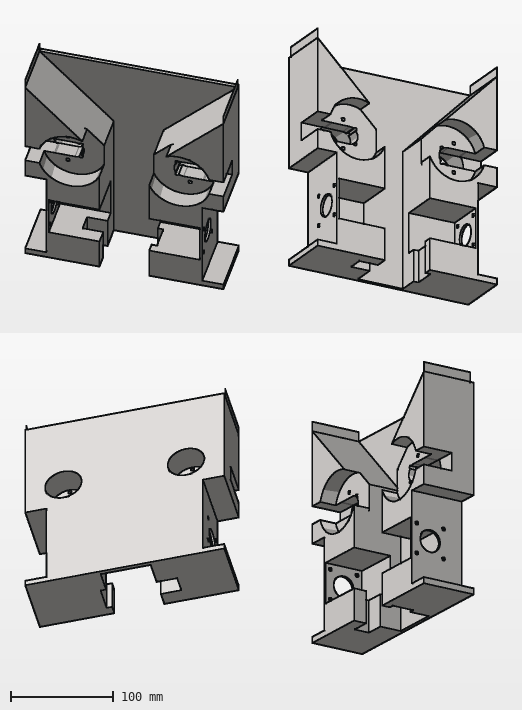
import cadquery as cq
import math

half_width = 100.0
depth = 58.0
total_height = 230.0

plate_thickness = 4.0
plate_height = 220.0
gap_half_width = 25.0
plate_front = depth - plate_thickness
slope_run = half_width - gap_half_width
slope_foot = plate_height - slope_run

waist_half_width = 78.7
foot_height = 6.5
shoulder_height = 103.0

seat_x = 54.7
seat_z = 132.7
seat_radius = 32.2
seat_depth = 18.0
web_back = 32.5
slot_height = 18.6
shaft_offset = 7.0
motor_axis_x = seat_x + shaft_offset
rear_bore_radius = 18.5
screw_circle_radius = 15.5
screw_count = 6
screw_radius = 1.72

motor_size = 42.3
pocket_bottom = 33.5
motor_wall = 2.5
shaft_radius = 11.5
motor_screw_spacing = 31.0
motor_y = motor_size / 2
motor_z = pocket_bottom + motor_size / 2

left_notch_front = 14.0
left_notch_width = 16.5
left_notch_length = 20.7
right_notch_front = 9.0
right_notch_width = 24.0
right_notch_length = 5.5

fin_thickness = 0.12


def box(x_range, y_range, z_range):
    """Box between two limits on each axis, given in either order."""
    limits = [sorted(pair) for pair in (x_range, y_range, z_range)]
    sizes = [high - low for low, high in limits]
    corner = [low for low, high in limits]
    return cq.Workplane().box(*sizes, centered=False).translate(tuple(corner))


def bore_y(x, z, radius, start, end):
    """Cylinder along Y between two depths."""
    disc = cq.Workplane("XZ", origin=(x, start, z)).circle(radius)
    return disc.extrude(start - end)


def bore_x(y, z, radius, start, end):
    """Cylinder along X between two places."""
    return cq.Workplane("YZ", origin=(start, y, z)).circle(radius).extrude(end - start)


def block_blank(side):
    """Side block with its inner top corner sloped and its waist cut in from outside."""
    outline = [
        (gap_half_width, 0),
        (half_width, 0),
        (half_width, foot_height),
        (waist_half_width, foot_height),
        (waist_half_width, shoulder_height),
        (half_width, shoulder_height),
        (half_width, plate_height),
        (gap_half_width, slope_foot),
    ]
    points = [(side * x, z) for x, z in outline]
    return cq.Workplane("XZ").polyline(points).close().extrude(-depth)


def motor_seat(side):
    """Round front seat, rear motor bore, shaft slot to the outside and a ring of screw holes."""
    shaft_x = side * seat_x
    slot_z = (seat_z - slot_height / 2, seat_z + slot_height / 2)
    tool = bore_y(shaft_x, seat_z, seat_radius, 0, seat_depth)
    tool = tool.union(bore_y(side * motor_axis_x, seat_z, rear_bore_radius, web_back, depth))
    tool = tool.union(bore_y(shaft_x, seat_z, slot_height / 2, 0, web_back))
    tool = tool.union(box((shaft_x, side * half_width), (0, web_back), slot_z))
    for index in range(screw_count):
        angle = 2 * math.pi * (index + 0.5) / screw_count
        screw_x = side * (motor_axis_x + screw_circle_radius * math.cos(angle))
        screw_z = seat_z + screw_circle_radius * math.sin(angle)
        tool = tool.union(bore_y(screw_x, screw_z, screw_radius, 0, web_back))
    return tool


def motor_pocket(side):
    """Square pocket open to the front and the gap, with shaft and screw holes in its wall."""
    wall_inside = side * (waist_half_width - motor_wall)
    wall_outside = side * waist_half_width
    pocket_z = (pocket_bottom, pocket_bottom + motor_size)
    tool = box((side * gap_half_width, wall_inside), (0, motor_size), pocket_z)
    tool = tool.union(bore_x(motor_y, motor_z, shaft_radius, wall_inside, wall_outside))
    for along in (-1, 1):
        for up in (-1, 1):
            y = motor_y + along * motor_screw_spacing / 2
            z = motor_z + up * motor_screw_spacing / 2
            tool = tool.union(bore_x(y, z, screw_radius, wall_inside, wall_outside))
    return tool


def floor_notch(side, front, width, length):
    """Notch through the pocket floor, running outward from the gap."""
    x_range = (side * gap_half_width, side * (gap_half_width + length))
    return box(x_range, (front, front + width), (0, pocket_bottom))


def make_housing():
    """Plate and both side blocks as one solid, with all their openings."""
    body = box((-gap_half_width, gap_half_width), (plate_front, depth), (0, plate_height))
    upper_plate = box((-half_width, half_width), (plate_front, depth), (slope_foot, plate_height))
    body = body.union(upper_plate)
    for side in (-1, 1):
        body = body.union(block_blank(side))
    for side in (-1, 1):
        body = body.cut(motor_seat(side)).cut(motor_pocket(side))
    body = body.cut(floor_notch(-1, left_notch_front, left_notch_width, left_notch_length))
    return body.cut(floor_notch(1, right_notch_front, right_notch_width, right_notch_length))


def make_fin(side):
    """Thin upright fin standing on the outer top edge of a block."""
    x_range = (side * (half_width - fin_thickness), side * half_width)
    return box(x_range, (0, plate_front), (plate_height, total_height))


housing = make_housing()
fins = [make_fin(side) for side in (-1, 1)]

result = cq.Compound.makeCompound([housing.val(), *[fin.val() for fin in fins]])